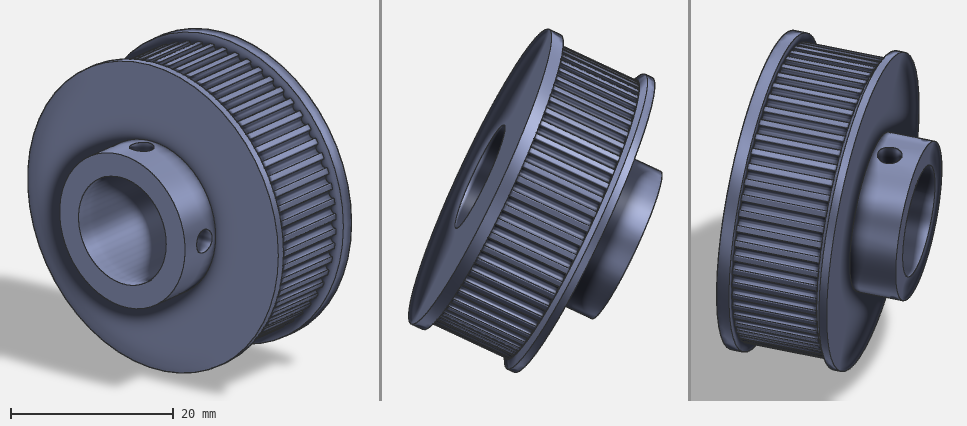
import cadquery as cq
import math

total_length = 20.0
hub_length = 5.9
front_flange_thickness = 1.6
back_flange_thickness = 1.6

flange_radius = 20.0
hub_radius = 10.0
bore_radius = 7.0

bevel_length = 0.6
bevel_inner_radius = 18.95

tooth_count = 60
tip_radius = 18.85
groove_depth = 0.7
groove_radius = 0.55
tip_fillet_radius = 0.15
groove_overcut = 0.2

screw_hole_radius = 1.5
screw_hole_position = 3.7

track_start = hub_length + front_flange_thickness
track_end = total_length - back_flange_thickness


def polar(radius, angle):
    return (radius * math.cos(angle), radius * math.sin(angle))


def mirrored(point):
    return (point[0], -point[1])


def pulley_blank():
    """Hub, bevelled front flange, smooth track and back flange, with the bore left open."""
    half_section = [
        (bore_radius, 0),
        (hub_radius, 0),
        (hub_radius, hub_length),
        (flange_radius, hub_length),
        (flange_radius, track_start - bevel_length),
        (bevel_inner_radius, track_start),
        (tip_radius, track_start),
        (tip_radius, track_end),
        (flange_radius, track_end),
        (flange_radius, total_length),
        (bore_radius, total_length),
    ]
    return cq.Workplane("XY").polyline(half_section).close().revolve(360, (0, 0), (0, 1))


def groove_cutter():
    """One tooth groove on the +X side: round bottom, straight flanks and rounded tooth edges."""
    bottom = (tip_radius - groove_depth, 0)
    flank_start = (bottom[0] + groove_radius, groove_radius)

    fillet_center_z = groove_radius + tip_fillet_radius
    fillet_center_x = math.sqrt((tip_radius - tip_fillet_radius) ** 2 - fillet_center_z ** 2)
    tip_angle = math.atan2(fillet_center_z, fillet_center_x)
    flank_angle = -math.pi / 2
    offset = polar(tip_fillet_radius, (tip_angle + flank_angle) / 2)
    flank_end = (fillet_center_x, groove_radius)
    fillet_middle = (fillet_center_x + offset[0], fillet_center_z + offset[1])
    fillet_end = polar(tip_radius, tip_angle)
    outer_corner = polar(tip_radius + groove_overcut, tip_angle)

    return (
        cq.Workplane("XZ", origin=(0, track_start, 0))
        .moveTo(*mirrored(flank_start))
        .threePointArc(bottom, flank_start)
        .lineTo(*flank_end)
        .threePointArc(fillet_middle, fillet_end)
        .lineTo(*outer_corner)
        .lineTo(*mirrored(outer_corner))
        .lineTo(*mirrored(fillet_end))
        .threePointArc(mirrored(fillet_middle), mirrored(flank_end))
        .close()
        .extrude(track_start - track_end)
    )


def tooth_grooves():
    """All grooves, evenly spaced around the Y axis."""
    cutter = groove_cutter().val()
    pitch_angle = 360 / tooth_count
    return cq.Compound.makeCompound(
        [cutter.rotate((0, 0, 0), (0, 1, 0), tooth * pitch_angle) for tooth in range(tooth_count)]
    )


def screw_hole(direction):
    """Radial hole from the pulley axis out through the hub wall."""
    start = cq.Vector(0, screw_hole_position, 0)
    return cq.Solid.makeCylinder(screw_hole_radius, hub_radius, start, direction)


result = pulley_blank().cut(cq.Workplane(tooth_grooves()))
for direction in (cq.Vector(1, 0, 0), cq.Vector(0, 0, 1)):
    result = result.cut(cq.Workplane(screw_hole(direction)))